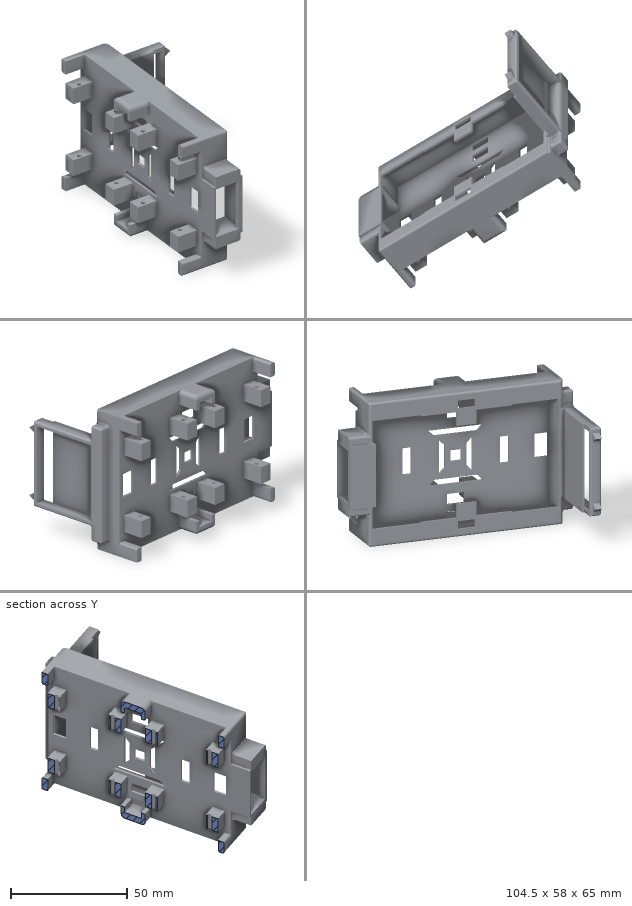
import cadquery as cq
import math

BODY_LENGTH = 90.0
BODY_HEIGHT = 65.0
BODY_DEPTH = 14.0
PLATE = 1.0
WALL = 1.5
STANDOFF = 10.0
EDGE_RADIUS = 1.0
TOTAL_LENGTH = 104.5
TOTAL_DEPTH = 58.0

LEFT = -BODY_LENGTH / 2
RIGHT = BODY_LENGTH / 2
HALF_HEIGHT = BODY_HEIGHT / 2

LEDGE_Y = BODY_DEPTH - PLATE
LEDGE_RADIUS = 0.99
BLEND_RADIUS = 0.99
JOINT_TOLERANCE = 0.01

LEG_THICKNESS = 3.0
LEG_HEIGHT = 6.5

CLIP_WIDTH = 12.0
CLIP_HEIGHT = 6.5
CLIP_OPENING = 8.2
CLIP_FLOOR = 3.5
CLIP_RADIUS = 2.0
CLIP_WINDOW = 4.0

POST_HEIGHT = 7.8
POST_Z = 18.0
OUTER_POST = (36.1, 42.0)
INNER_POST = (6.0, 12.1)
POST_HOLE_DIAMETER = 2.0
POST_HOLE_X = (10.1, 37.7)
POST_HOLE_Y = -6.0

CENTRE_WINDOW = 5.0
SLOT = (4.1, 12.0)
SLOT_X = 22.5
END_WINDOW = (6.3, 10.8)
END_WINDOW_X = 39.5
LATCH_WINDOW_Z = (17.0, 21.8)
MITRE_WIDTH = 2.6
SIDE_MITRE = 7.6
LEVEL_MITRE = 12.5

LIP_END_Z = 24.5
LIP_Z = 23.9
LIP_HALF_LENGTH = 20.9
LIP_WINDOW_Z = 25.4
TONGUE_HALF_WIDTH = 4.6
TONGUE_Z = 17.7

TAB_LENGTH = 9.4
TAB_HALF_FRONT = 13.0
TAB_HALF_HEIGHT = 18.0
TAB_HALF_BACK = 14.1
TAB_HALF_CAVITY = TAB_HALF_FRONT - PLATE
TAB_BACK = BODY_DEPTH + PLATE
TAB_START = RIGHT - 2.6
SILL_LENGTH = 2.3
TAB_ROOT_RADIUS = 2.0
TAB_ROOT_HEIGHT = 0.67

HANDLE_THICKNESS = TOTAL_LENGTH - BODY_LENGTH - TAB_LENGTH
BAR_HALF_LENGTH = 27.0
BAR_FRONT = 5.9
BAR_BACK = 12.0
FRAME_HALF_HEIGHT = 20.0
FRAME_RIM = 2.0
SPIKE_LENGTH = 3.0
SPIKE_HALF_BASE = 1.9
SPIKE_WIDTH = 3.0
SPIKE_Z = 15.9
FRAME_BACK = TOTAL_DEPTH - STANDOFF - SPIKE_LENGTH
BAR_SHOULDER = 2.0
PANEL = (16.8, 37.8)


def block(x0, x1, y0, y1, z0, z1):
    """Box given by its limits."""
    return cq.Workplane("XY").box(x1 - x0, y1 - y0, z1 - z0, centered=False).translate((x0, y0, z0))


def plate_window(x, z, width, height):
    return block(x - width / 2, x + width / 2, 0, PLATE, z - height / 2, z + height / 2)


def mirror_z(shape):
    return shape.union(shape.mirror("XY"))


def mirror_x(shape):
    return shape.union(shape.mirror("YZ"))


def make_tray():
    """Open-backed tray whose left wall has an outer layer that stops short of the back."""
    inner_left = LEFT + PLATE
    tray = block(inner_left, RIGHT, 0, BODY_DEPTH, -HALF_HEIGHT, HALF_HEIGHT)
    tray = tray.edges("|Y and >X").fillet(EDGE_RADIUS)
    tray = tray.faces(">Y").edges().fillet(EDGE_RADIUS)
    layer = block(LEFT, inner_left, 0, LEDGE_Y, -HALF_HEIGHT, HALF_HEIGHT)
    layer = layer.edges(">Y and <X").fillet(LEDGE_RADIUS)
    cavity_height = HALF_HEIGHT - WALL
    cavity = block(inner_left + WALL, RIGHT - WALL, PLATE, BODY_DEPTH, -cavity_height, cavity_height)
    return tray.union(layer).cut(cavity)


def make_legs():
    """Upper pair of corner legs."""
    z0 = HALF_HEIGHT - LEG_HEIGHT
    left_leg = block(LEFT, LEFT + LEG_THICKNESS, -STANDOFF, 0, z0, HALF_HEIGHT)
    left_leg = left_leg.edges("|Y and <X and <Z").fillet(EDGE_RADIUS)
    right_leg = block(RIGHT - LEG_THICKNESS, RIGHT, -STANDOFF, 0, z0, HALF_HEIGHT)
    right_leg = right_leg.edges("|Y and (>X or >Z)").fillet(EDGE_RADIUS)
    return left_leg.union(right_leg)


def make_back_lip():
    """Upper lip along the open back, with a tongue behind the latch window."""
    front = LEDGE_Y
    reach = RIGHT - WALL
    lip = block(-reach, reach, front, BODY_DEPTH, LIP_END_Z, HALF_HEIGHT - WALL)
    lip = lip.union(block(-LIP_HALF_LENGTH, LIP_HALF_LENGTH, front, BODY_DEPTH, LIP_Z, LIP_END_Z))
    lip = lip.union(block(-TONGUE_HALF_WIDTH, TONGUE_HALF_WIDTH, front, BODY_DEPTH, TONGUE_Z, LIP_Z))
    half = CLIP_OPENING / 2
    return lip.cut(block(-half, half, front, BODY_DEPTH, LIP_WINDOW_Z, HALF_HEIGHT - CLIP_FLOOR))


def make_clip():
    """Upper clip: a block with rounded outer edges, open toward the middle and the front."""
    half = CLIP_WIDTH / 2
    clip = block(-half, half, -STANDOFF, 0, HALF_HEIGHT - CLIP_HEIGHT, HALF_HEIGHT)
    clip = clip.faces(">Z").edges("|Y or <Y").fillet(CLIP_RADIUS)
    return clip.cut(block(-CLIP_OPENING / 2, CLIP_OPENING / 2, -STANDOFF, 0, 0, HALF_HEIGHT - CLIP_FLOOR))


def make_posts():
    """Upper right pair of posts, drilled along Z."""
    z0 = POST_Z - POST_HEIGHT / 2
    posts = cq.Workplane("XY")
    for x0, x1 in (OUTER_POST, INNER_POST):
        posts = posts.union(block(x0, x1, -STANDOFF, 0, z0, z0 + POST_HEIGHT))
    holes = (cq.Workplane("XY").workplane(offset=z0).pushPoints([(x, POST_HOLE_Y) for x in POST_HOLE_X])
             .circle(POST_HOLE_DIAMETER / 2).extrude(POST_HEIGHT))
    return posts.cut(holes)


def make_mitred_slit(outer):
    """Slit above the centre, its ends cut at 45 degrees."""
    inner = outer - MITRE_WIDTH
    points = [(-outer, outer), (outer, outer), (inner, inner), (-inner, inner)]
    return cq.Workplane("XZ").polyline(points).close().extrude(-PLATE)


def make_windows():
    windows = plate_window(0, 0, CENTRE_WINDOW, CENTRE_WINDOW)
    windows = windows.union(mirror_x(plate_window(SLOT_X, 0, *SLOT)))
    windows = windows.union(mirror_x(plate_window(END_WINDOW_X, 0, *END_WINDOW)))
    z0, z1 = LATCH_WINDOW_Z
    windows = windows.union(mirror_z(plate_window(0, (z0 + z1) / 2, CLIP_OPENING, z1 - z0)))
    clip_window_z = HALF_HEIGHT - CLIP_FLOOR - CLIP_WINDOW / 2
    windows = windows.union(mirror_z(plate_window(0, clip_window_z, CLIP_OPENING, CLIP_WINDOW)))
    windows = windows.union(mirror_z(make_mitred_slit(LEVEL_MITRE)))
    side = make_mitred_slit(SIDE_MITRE).rotate((0, 0, 0), (0, 1, 0), 90)
    return windows.union(mirror_x(side))


def make_tab_root():
    """Upper concave rounding between the tab and the right wall, cut off below full height."""
    run = TAB_ROOT_RADIUS - math.sqrt(TAB_ROOT_RADIUS ** 2 - (TAB_ROOT_RADIUS - TAB_ROOT_HEIGHT) ** 2)
    half_angle = math.acos(1 - TAB_ROOT_HEIGHT / TAB_ROOT_RADIUS) / 2
    centre_x = RIGHT + TAB_ROOT_RADIUS
    centre_z = TAB_HALF_HEIGHT + TAB_ROOT_RADIUS
    arc_middle = (centre_x - TAB_ROOT_RADIUS * math.sin(half_angle),
                  centre_z - TAB_ROOT_RADIUS * math.cos(half_angle))
    top = TAB_HALF_HEIGHT + TAB_ROOT_HEIGHT
    return (cq.Workplane("XZ").moveTo(RIGHT - WALL, TAB_HALF_HEIGHT - WALL).lineTo(RIGHT - WALL, top)
            .lineTo(RIGHT + run, top).threePointArc(arc_middle, (centre_x, TAB_HALF_HEIGHT))
            .lineTo(centre_x, TAB_HALF_HEIGHT - WALL).close()
            .extrude(PLATE - LEDGE_Y).translate((0, PLATE, 0)))


def make_tab():
    end = RIGHT + TAB_LENGTH
    tab = block(RIGHT - WALL, end, PLATE, BODY_DEPTH, -TAB_HALF_HEIGHT, TAB_HALF_HEIGHT)
    tab = tab.edges("|X and >Y").fillet(EDGE_RADIUS)
    tab = tab.union(block(RIGHT - WALL, end, 0, PLATE, -TAB_HALF_FRONT, TAB_HALF_FRONT))
    tab = tab.union(block(TAB_START, end, PLATE, TAB_BACK, -TAB_HALF_BACK, TAB_HALF_BACK))
    return tab.union(mirror_z(make_tab_root()))


def make_tab_cavity():
    """Hollow of the tab, open at its end, leaving a low sill inside the mouth."""
    end = RIGHT + TAB_LENGTH
    cavity = block(TAB_START, end, PLATE, BODY_DEPTH, -TAB_HALF_CAVITY, TAB_HALF_CAVITY)
    return cavity.cut(block(end - SILL_LENGTH, end, LEDGE_Y, BODY_DEPTH, -TAB_HALF_CAVITY, TAB_HALF_CAVITY))


def make_bar_blend(handle):
    """Concave rounding between the bar and the left wall, up to the ledge."""
    margin = 2 * EDGE_RADIUS
    backing = block(LEFT, LEFT + PLATE, BAR_FRONT - margin, FRAME_BACK + margin, -HALF_HEIGHT, HALF_HEIGHT)
    reach = BAR_HALF_LENGTH + JOINT_TOLERANCE
    joint = cq.selectors.BoxSelector((LEFT - JOINT_TOLERANCE, BAR_FRONT - JOINT_TOLERANCE, -reach),
                                     (LEFT + JOINT_TOLERANCE, FRAME_BACK, reach), boundingbox=True)
    blended = backing.union(handle).edges(joint).fillet(BLEND_RADIUS)
    return blended.intersect(block(LEFT - margin, LEFT, 0, LEDGE_Y, -HALF_HEIGHT, HALF_HEIGHT))


def make_handle():
    """Bar on the left wall with a rectangular frame standing behind it."""
    outer = LEFT - HANDLE_THICKNESS
    bar = block(outer, LEFT, BAR_FRONT, BAR_BACK, -BAR_HALF_LENGTH, BAR_HALF_LENGTH)
    frame = block(outer, LEFT, BAR_FRONT, FRAME_BACK, -FRAME_HALF_HEIGHT, FRAME_HALF_HEIGHT)
    handle = bar.union(frame)
    handle = handle.edges("|X").fillet(EDGE_RADIUS)
    handle = handle.faces("<X").edges().fillet(EDGE_RADIUS)
    foot = block(LEFT, LEFT + PLATE + WALL, BAR_FRONT, BODY_DEPTH, -FRAME_HALF_HEIGHT, FRAME_HALF_HEIGHT)
    envelope = block(outer, LEFT, BAR_FRONT, FRAME_BACK, -BAR_HALF_LENGTH, BAR_HALF_LENGTH)
    envelope = envelope.edges(">X and >Y").fillet(EDGE_RADIUS)
    return handle.intersect(envelope).union(make_bar_blend(handle)).union(foot)


def make_frame_opening():
    """Opening of the frame; its floor on the bar is rounded down toward the outside."""
    outer = LEFT - HANDLE_THICKNESS
    half = FRAME_HALF_HEIGHT - FRAME_RIM
    opening = block(outer, LEFT, LEDGE_Y - BAR_SHOULDER, FRAME_BACK - FRAME_RIM, -half, half)
    floor = block(outer, LEFT, BAR_FRONT, LEDGE_Y, -half, half)
    return opening.cut(floor.edges("<X and >Y").fillet(BAR_SHOULDER))


def make_panel():
    return block(LEFT, LEFT + PLATE, *PANEL, -FRAME_HALF_HEIGHT, FRAME_HALF_HEIGHT)


def make_spike():
    """Upper wedge on the back of the frame."""
    points = [(FRAME_BACK, SPIKE_Z - SPIKE_HALF_BASE), (FRAME_BACK, SPIKE_Z + SPIKE_HALF_BASE),
              (FRAME_BACK + SPIKE_LENGTH, SPIKE_Z)]
    start = LEFT - HANDLE_THICKNESS + EDGE_RADIUS
    return cq.Workplane("YZ").polyline(points).close().extrude(SPIKE_WIDTH).translate((start, 0, 0))


result = make_tray().union(make_handle())
result = result.cut(make_frame_opening()).union(make_panel()).union(mirror_z(make_spike()))
result = result.union(make_tab()).cut(make_tab_cavity())
result = result.union(mirror_z(make_back_lip().cut(make_tab_cavity())))
result = result.union(mirror_z(make_legs())).union(mirror_z(make_clip()))
result = result.union(mirror_z(mirror_x(make_posts())))
result = result.cut(make_windows())